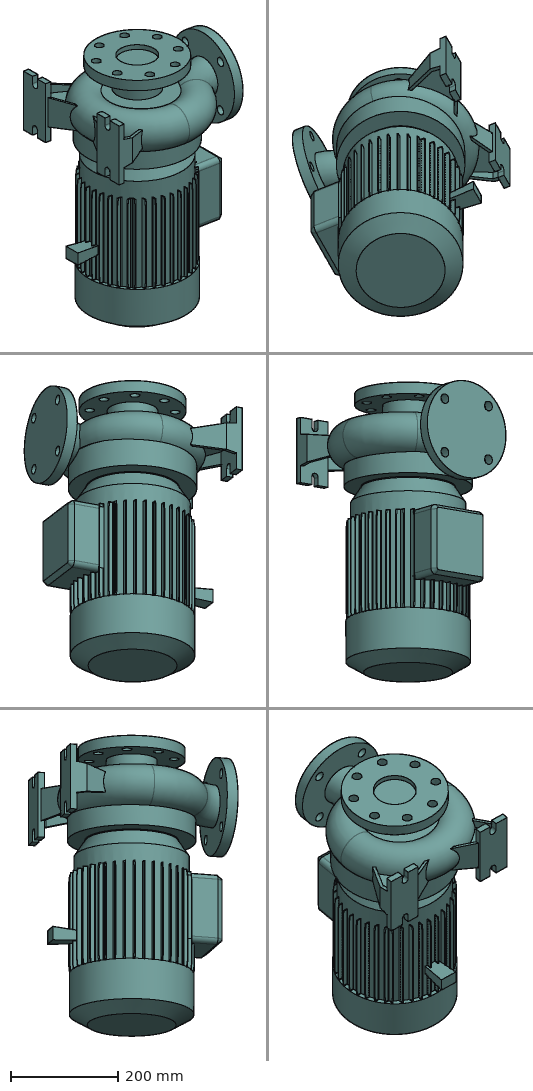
import cadquery as cq
import math


inlet_face_z = 100.0
inlet_flange_diameter = 200.0
inlet_flange_thickness = 22.0
inlet_bolt_circle = 160.0
inlet_bolt_count = 8
inlet_pipe_diameter = 95.0
inlet_bore_diameter = 80.0
inlet_bore_depth = 10.0

outlet_face_y = 180.0
outlet_flange_diameter = 185.0
outlet_flange_thickness = 21.0
outlet_bolt_circle = 145.0
outlet_bolt_count = 4
bolt_hole_diameter = 18.0

tube_radius = 40.0
volute_reach_right = 153.0
volute_reach_left = 130.0
discharge_arc_radius = 100.0
tail_arc_radius = 85.0
tail_end_angle = 80.0

body_core_radius = 95.0
body_core_top_z = 30.0
collar_radius = 120.0
collar_top_z = -24.0
collar_bottom_z = -78.0

neck_radius = 88.0
neck_cone_top_z = -80.0
neck_cone_bottom_z = -110.0
motor_radius = 108.0
cowl_radius = 116.5
cowl_top_z = -335.0
cowl_chamfer_z = -413.0
cowl_end_radius = 83.0
motor_end_z = -433.0

fin_top_z = -145.5
fin_height = 10.0
fin_end_length = 14.0
fin_end_inset = 1.5
fin_root_overlap = 4.0
fin_pitch_radius = 116.5
fin_thickness = 2.0
fin_pitch_angle = 9.0
fins_per_quadrant = 10

box_width = 122.0
box_height = 133.5
box_top_z = -146.0
box_face_y = 160.0
box_edge_radius = 10.0
box_chamfer_depth = 10.0
box_chamfer_inset = 7.0

block_center_z = -271.7
block_face_y = -158.5
block_face_width = 35.0
block_face_height = 26.0
block_root_width = 29.0
block_root_height = 19.0
block_root_overlap = 2.0

foot_face_y = -160.0
foot_plate_thickness = 12.5
foot_plate_width = 65.0
foot_plate_height = 125.0
foot_outer_x = 140.0
foot_slot_spacing = 212.0
foot_slot_width = 14.0
foot_slot_depth = 22.5
rib_thickness = 7.0
rib_bend_y = -127.5
outer_rib_end = (103.0, -55.0)
inner_rib_end_x = 20.0
inner_rib_slope = 0.515
rib_half_height_at_plate = 30.0
rib_half_height_slope = 0.17
foot_web_thickness = 10.0


def cylinder(radius, bottom_z, top_z):
    return cq.Workplane("XY").workplane(offset=bottom_z).circle(radius).extrude(top_z - bottom_z)


def bent_tube(center_x, center_y, bend_radius, start_angle, end_angle):
    """Part of a torus in the plane Z = 0, swept anticlockwise from start_angle to end_angle."""
    sweep_angle = end_angle - start_angle
    tube = (
        cq.Workplane("XZ")
        .center(bend_radius, 0)
        .circle(tube_radius)
        .revolve(sweep_angle, (-bend_radius, 0, 0), (-bend_radius, 1, 0))
    )
    return tube.rotate((0, 0, 0), (0, 0, 1), start_angle).translate((center_x, center_y, 0))


def make_volute():
    right_x = volute_reach_right - tube_radius
    left_x = -(volute_reach_left - tube_radius)

    lower_center_x = (right_x + left_x) / 2
    lower_radius = (right_x - left_x) / 2
    lower = bent_tube(lower_center_x, 0, lower_radius, 180, 360)

    discharge_center_x = right_x - discharge_arc_radius
    bend_radius = (discharge_center_x**2 + outlet_face_y**2 - discharge_arc_radius**2) / (2 * right_x)
    joint_angle = math.degrees(math.atan2(outlet_face_y, bend_radius - discharge_center_x))
    discharge = bent_tube(discharge_center_x, 0, discharge_arc_radius, 0, joint_angle)
    outlet_bend = bent_tube(bend_radius, outlet_face_y, bend_radius, 180, 180 + joint_angle)

    tail = bent_tube(left_x + tail_arc_radius, 0, tail_arc_radius, tail_end_angle, 180)
    return lower.union(discharge).union(outlet_bend).union(tail)


def make_flange(diameter, thickness, bolt_circle, bolt_count):
    """Flange facing +Z with its face at Z = 0; bolt holes straddle the axes."""
    flange = cq.Workplane("XY").circle(diameter / 2).extrude(-thickness)
    holes = (
        cq.Workplane("XY")
        .polarArray(bolt_circle / 2, 180 / bolt_count, 360, bolt_count)
        .circle(bolt_hole_diameter / 2)
        .extrude(-thickness)
    )
    return flange.cut(holes)


def make_inlet():
    flange = make_flange(inlet_flange_diameter, inlet_flange_thickness, inlet_bolt_circle, inlet_bolt_count)
    flange = flange.translate((0, 0, inlet_face_z))
    pipe = cylinder(inlet_pipe_diameter / 2, 0, inlet_face_z)
    bore = cylinder(inlet_bore_diameter / 2, inlet_face_z - inlet_bore_depth, inlet_face_z)
    return flange.union(pipe).cut(bore)


def make_outlet_flange():
    flange = make_flange(
        outlet_flange_diameter, outlet_flange_thickness, outlet_bolt_circle, outlet_bolt_count
    )
    return flange.rotate((0, 0, 0), (1, 0, 0), -90).translate((0, outlet_face_y, 0))


def make_body_and_motor():
    """Turned body: core disc, collar, neck cone, motor barrel and fan cowl."""
    outline = [
        (0, body_core_top_z),
        (body_core_radius, body_core_top_z),
        (body_core_radius, collar_top_z),
        (collar_radius, collar_top_z),
        (collar_radius, collar_bottom_z),
        (neck_radius, collar_bottom_z),
        (neck_radius, neck_cone_top_z),
        (motor_radius, neck_cone_bottom_z),
        (motor_radius, cowl_top_z),
        (cowl_radius, cowl_top_z),
        (cowl_radius, cowl_chamfer_z),
        (cowl_end_radius, motor_end_z),
        (0, motor_end_z),
    ]
    return cq.Workplane("XZ").polyline(outline).close().revolve(360, (0, 0, 0), (0, 1, 0))


def make_fins():
    """Four groups of parallel fins, each fin standing a fixed height off the motor barrel."""
    tip_outline = [
        (0, fin_top_z),
        (motor_radius - fin_end_inset, fin_top_z),
        (motor_radius, fin_top_z - fin_end_length),
        (motor_radius, cowl_top_z + fin_end_length),
        (motor_radius - fin_end_inset, cowl_top_z),
        (0, cowl_top_z),
    ]
    tip_envelope = cq.Workplane("XZ").polyline(tip_outline).close().revolve(360, (0, 0, 0), (0, 1, 0))
    tip_envelope = tip_envelope.translate((fin_height, 0, 0))

    blade_depth = fin_height + fin_root_overlap
    blade_length = fin_top_z - cowl_top_z
    fins = []
    for index in range(fins_per_quadrant):
        angle = math.radians((index - (fins_per_quadrant - 1) / 2) * fin_pitch_angle)
        offset_y = fin_pitch_radius * math.sin(angle)
        inner_x = math.sqrt(motor_radius**2 - offset_y**2) - fin_root_overlap
        blade = cq.Workplane("XY", origin=(inner_x, offset_y, cowl_top_z)).box(
            blade_depth, fin_thickness, blade_length, centered=(False, True, False)
        )
        fin = blade.intersect(tip_envelope)
        for quadrant in range(4):
            fins.append(fin.rotate((0, 0, 0), (0, 0, 1), 90 * quadrant).val())
    return fins


def make_terminal_box():
    """Box with rounded edges along Y and a bevelled rim round its +Y face."""
    outline = cq.Sketch().rect(box_width, box_height).vertices().fillet(box_edge_radius)
    bevel_angle = math.degrees(math.atan2(box_chamfer_inset, box_chamfer_depth))
    rim_y = box_face_y - box_chamfer_depth
    box = cq.Workplane("XY").placeSketch(outline).extrude(rim_y)
    rim = cq.Workplane("XY", origin=(0, 0, rim_y)).placeSketch(outline)
    rim = rim.extrude(box_chamfer_depth, taper=bevel_angle)
    box = box.union(rim).rotate((0, 0, 0), (1, 0, 0), -90)
    return box.translate((0, 0, box_top_z - box_height / 2))


def make_support_block():
    """Block that widens from the motor barrel out to its -Y face."""
    root_y = -motor_radius + block_root_overlap
    return (
        cq.Workplane("XZ", origin=(0, root_y, block_center_z))
        .rect(block_root_width, block_root_height)
        .workplane(offset=root_y - block_face_y)
        .rect(block_face_width, block_face_height)
        .loft(ruled=True)
    )


def make_foot():
    """Foot on the +X side: slotted plate, two ribs and a level web between them."""
    plate_back_y = foot_face_y + foot_plate_thickness
    plate_inner_x = foot_outer_x - foot_plate_width
    plate = cq.Workplane("XY").box(
        foot_plate_width, foot_plate_thickness, foot_plate_height, centered=(False, False, True)
    )
    plate = plate.translate((plate_inner_x, foot_face_y, 0))

    slot_height = foot_plate_height - 2 * (foot_slot_depth - foot_slot_width / 2)
    slot_center_z = foot_plate_height / 2 - foot_slot_depth + foot_slot_width / 2
    for side in (1, -1):
        slot = (
            cq.Workplane("XZ", origin=(foot_slot_spacing / 2, plate_back_y, side * slot_center_z))
            .slot2D(slot_height, foot_slot_width, 90)
            .extrude(foot_plate_thickness)
        )
        slot = slot.translate((0, 0, side * (slot_height - foot_slot_width) / 2))
        plate = plate.cut(slot)

    outer_end_x, outer_end_y = outer_rib_end
    outer_plan = [
        (foot_outer_x, plate_back_y),
        (foot_outer_x, rib_bend_y),
        (outer_end_x, outer_end_y),
        (outer_end_x - rib_thickness, outer_end_y),
        (foot_outer_x - rib_thickness, rib_bend_y),
        (foot_outer_x - rib_thickness, plate_back_y),
    ]
    inner_end_y = plate_back_y + inner_rib_slope * (plate_inner_x - inner_rib_end_x)
    inner_plan = [
        (plate_inner_x, plate_back_y),
        (inner_rib_end_x, inner_end_y),
        (inner_rib_end_x, inner_end_y - rib_thickness),
        (plate_inner_x, plate_back_y - rib_thickness),
    ]
    web_plan = [
        (foot_outer_x, plate_back_y),
        (foot_outer_x, rib_bend_y),
        (outer_end_x, outer_end_y),
        (inner_rib_end_x, inner_end_y),
        (plate_inner_x, plate_back_y),
    ]

    def prism(plan, height):
        return cq.Workplane("XY").polyline(plan).close().extrude(height / 2, both=True)

    ribs = prism(outer_plan, foot_plate_height).union(prism(inner_plan, foot_plate_height))
    half_height_at_face = rib_half_height_at_plate + rib_half_height_slope * foot_plate_thickness
    half_height_at_end = rib_half_height_at_plate - rib_half_height_slope * (outer_end_y - plate_back_y)
    taper_profile = [
        (foot_face_y, half_height_at_face),
        (outer_end_y, half_height_at_end),
        (outer_end_y, -half_height_at_end),
        (foot_face_y, -half_height_at_face),
    ]
    taper = cq.Workplane("YZ").polyline(taper_profile).close().extrude(foot_outer_x)
    return plate.union(ribs.intersect(taper)).union(prism(web_plan, foot_web_thickness))


foot = make_foot()
pump = (
    make_body_and_motor()
    .union(make_volute())
    .union(make_inlet())
    .union(make_outlet_flange())
    .union(make_terminal_box())
    .union(make_support_block())
    .union(foot)
    .union(foot.mirror("YZ"))
)
result = cq.Workplane(pump.val().fuse(*make_fins()))